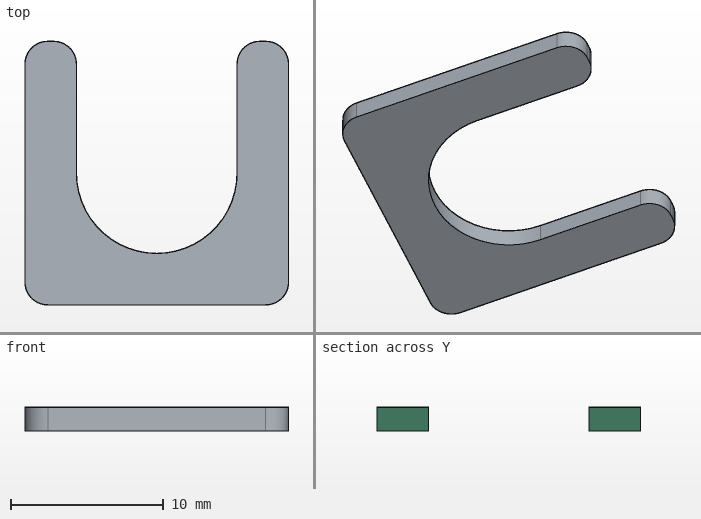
import cadquery as cq

side = 17.27
thickness = 1.57
slot_width = 10.5
corner_radius = 1.5

half_side = side / 2
slot_radius = slot_width / 2

outline = (
    cq.Workplane("XY")
    .moveTo(-half_side, -half_side)
    .lineTo(half_side, -half_side)
    .lineTo(half_side, half_side)
    .lineTo(slot_radius, half_side)
    .lineTo(slot_radius, 0)
    .threePointArc((0, -slot_radius), (-slot_radius, 0))
    .lineTo(-slot_radius, half_side)
    .lineTo(-half_side, half_side)
    .close()
)
plate = outline.extrude(thickness)

base_corners = plate.faces("<Y").edges("|Z")
tip_corners = plate.faces(">Y").edges("|Z")
result = plate.newObject(base_corners.vals() + tip_corners.vals()).fillet(corner_radius)